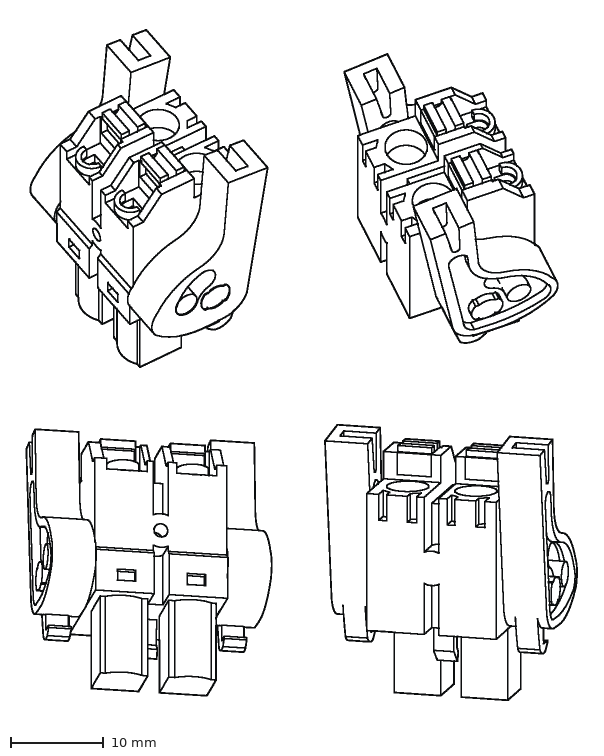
import cadquery as cq
import math


HOUSING_WIDTH = 14.47
HOUSING_DEPTH = 14.6
HOUSING_HEIGHT = 15.22
POLE_PITCH = 7.65
POLE_CENTRES = (-POLE_PITCH / 2, POLE_PITCH / 2)

HEAD_TOP = 18.25
HEAD_BACK = 7.85
HEAD_TOP_FRONT = 3.65
HEAD_SLOPE_FOOT = 1.3

BAND_THICKNESS = 0.42
BAND_HEIGHT = 5.05

GAP_WIDTH = 1.65
WEB_FRONT = 3.1
WEB_BACK = HOUSING_DEPTH - WEB_FRONT
WEB_TOP = 13.8
JOINT_Z = 7.4
JOINT_RADIUS = 1.92
JOINT_HOLE_RADIUS = 0.75
JOINT_HOLE_DEPTH = WEB_FRONT

POCKET_LEFT = -2.1
POCKET_RIGHT = 2.35
POCKET_BACK = 4.3
POCKET_FLOOR = 14.02
COLLAR_Y = 1.85
COLLAR_BACK = 1.95
COLLAR_OUTER_RADIUS = 1.75
COLLAR_INNER_RADIUS = 1.15
SOCKET_RADIUS = 1.02
SOCKET_BACK = 2.88
SOCKET_DEPTH = 1.2

ENTRY_Y = 10.37
ENTRY_RADIUS = 2.28
ENTRY_FLOOR = 12.35
NOTCH_LEFT = (-2.15, -1.15)
NOTCH_RIGHT = (2.07, 1.2)
NOTCH_OUTER_DEPTH = 1.8
NOTCH_INNER_DEPTH = 1.23

WINDOW_WIDTH = 2.0
WINDOW_BOTTOM = 1.3
WINDOW_HEIGHT = 1.25
WINDOW_DEPTH = 0.75

LEG_INNER_X = 1.15
LEG_OUTER_X = 6.35
LEG_LENGTH = 8.75
LEG_FRONT = 1.45
LEG_BACK = 6.77
LEG_RIB_WIDTH = 3.98
LEG_RIB_HEIGHT = 0.7

BUTTON_WIDTH = 3.8
BUTTON_FLOOR = 15.8
BUTTON_FRONT = 5.1
BUTTON_TOP = 18.93
RIB_UNDERSIDE = 18.0
RIB_WIDTH = 1.02
RIB_FRONT = 4.43
GROOVE_WIDTH = 1.05
GROOVE_AXIS_Z = 18.37
REAR_RIB_BACK = RIB_FRONT + 2 * RIB_WIDTH + GROOVE_WIDTH

LEVER_WIDTH = 4.8
LEVER_LEFT_FACES = (-HOUSING_WIDTH / 2 - LEVER_WIDTH, HOUSING_WIDTH / 2)
RECESS_DEPTH = 1.0
GRIP_SLOT_DEPTH = 3.6
GRIP_SLOT_TOP = 21.57
HOOK_INSET = 1.1
HOOK_WIDTH = 2.5

PIVOT_Y, PIVOT_Z = 7.5, 3.95
PIVOT_RADIUS = 1.55
PIVOT_EAR_RADIUS = 1.83
PIVOT_EAR_HEIGHT = 2.45
GUIDE_RADIUS = 3.83
GUIDE_PIN_RADIUS = 1.38
GUIDE_PIN_ANGLE = 165.4
GUIDE_END_ANGLE = 111.6
PIN_LENGTH = 4.67


def block(x0, x1, y0, y1, z0, z1):
    """Box between opposite corners."""
    return cq.Workplane("XY").box(x1 - x0, y1 - y0, z1 - z0, centered=False).translate((x0, y0, z0))


def side_plane(x):
    """Sketch plane at the given X, with local coordinates (Y, Z) and +X as its normal."""
    return cq.Workplane("YZ", origin=(x, 0, 0))


def pivot_shape(x, length):
    """Round pivot with two larger, flat-cut ears."""
    ears = side_plane(x).center(PIVOT_Y, PIVOT_Z).circle(PIVOT_EAR_RADIUS).extrude(length)
    flats = side_plane(x).center(PIVOT_Y, PIVOT_Z).rect(2 * PIVOT_EAR_RADIUS, PIVOT_EAR_HEIGHT).extrude(length)
    ears = ears.intersect(flats)
    return side_plane(x).center(PIVOT_Y, PIVOT_Z).circle(PIVOT_RADIUS).extrude(length).union(ears)


def guide_point(radius, angle):
    """Point at a radius and angle around the pivot, as (Y, Z)."""
    turn = math.radians(angle)
    return (PIVOT_Y + radius * math.cos(turn), PIVOT_Z + radius * math.sin(turn))


def guide_round(x, length, angle):
    """Cylinder with the guide pin's radius, at the given angle around the pivot."""
    centre = guide_point(GUIDE_RADIUS, angle)
    return side_plane(x).center(*centre).circle(GUIDE_PIN_RADIUS).extrude(length)


def guide_slot(x, length):
    """Curved slot around the pivot in which the guide pin travels."""
    outer = GUIDE_RADIUS + GUIDE_PIN_RADIUS
    inner = GUIDE_RADIUS - GUIDE_PIN_RADIUS
    middle_angle = (GUIDE_PIN_ANGLE + GUIDE_END_ANGLE) / 2
    slot = (
        side_plane(x)
        .moveTo(*guide_point(outer, GUIDE_PIN_ANGLE))
        .threePointArc(guide_point(outer, middle_angle), guide_point(outer, GUIDE_END_ANGLE))
        .lineTo(*guide_point(inner, GUIDE_END_ANGLE))
        .threePointArc(guide_point(inner, middle_angle), guide_point(inner, GUIDE_PIN_ANGLE))
        .close()
        .extrude(length)
    )
    pin_end = guide_round(x, length, GUIDE_PIN_ANGLE)
    far_end = guide_round(x, length, GUIDE_END_ANGLE)
    return slot.union(pin_end).union(far_end)


def housing_shell():
    """Side outline of the housing across its full width, split by the gap between the poles."""
    outline = [
        (HOUSING_DEPTH, 0),
        (HOUSING_DEPTH, HOUSING_HEIGHT),
        (HEAD_BACK, HOUSING_HEIGHT),
        (HEAD_BACK, HEAD_TOP),
        (HEAD_TOP_FRONT, HEAD_TOP),
        (HEAD_SLOPE_FOOT, HOUSING_HEIGHT),
        (0, HOUSING_HEIGHT),
        (0, BAND_HEIGHT),
        (-BAND_THICKNESS, BAND_HEIGHT - BAND_THICKNESS),
        (-BAND_THICKNESS, 0),
    ]
    shell = side_plane(-HOUSING_WIDTH / 2).polyline(outline).close().extrude(HOUSING_WIDTH)
    half_gap = GAP_WIDTH / 2
    gap = block(-half_gap, half_gap, -BAND_THICKNESS, HOUSING_DEPTH, 0, HEAD_TOP)
    web = block(-half_gap, half_gap, WEB_FRONT, WEB_BACK, 0, WEB_TOP)
    front_to_back = cq.Workplane("XZ", origin=(0, 0, JOINT_Z))
    boss = front_to_back.circle(JOINT_RADIUS).extrude(-HOUSING_DEPTH).intersect(gap)
    hole = front_to_back.circle(JOINT_HOLE_RADIUS).extrude(-JOINT_HOLE_DEPTH)
    return shell.cut(gap).union(web).union(boss).cut(hole)


def clamp_pocket(x):
    """Open-fronted pocket and the button seat behind it."""
    pocket = block(x + POCKET_LEFT, x + POCKET_RIGHT, 0, POCKET_BACK, POCKET_FLOOR, HEAD_TOP)
    half = BUTTON_WIDTH / 2
    seat = block(x - half, x + half, POCKET_BACK, HEAD_BACK, BUTTON_FLOOR, HEAD_TOP)
    return pocket.union(seat)


def test_collar(x):
    """Roughly half-round collar standing on the pocket floor."""
    ring = (
        cq.Workplane("XY", origin=(x, COLLAR_Y, POCKET_FLOOR))
        .circle(COLLAR_OUTER_RADIUS)
        .circle(COLLAR_INNER_RADIUS)
        .extrude(HOUSING_HEIGHT - POCKET_FLOOR)
    )
    front_part = block(
        x - COLLAR_OUTER_RADIUS, x + COLLAR_OUTER_RADIUS, 0, COLLAR_BACK, POCKET_FLOOR, HOUSING_HEIGHT
    )
    return ring.intersect(front_part)


def test_socket(x):
    """Socket in the pocket floor, round in front and square behind."""
    bottom = POCKET_FLOOR - SOCKET_DEPTH
    round_part = cq.Workplane("XY", origin=(x, COLLAR_Y, bottom)).circle(SOCKET_RADIUS).extrude(SOCKET_DEPTH)
    square_part = block(x - SOCKET_RADIUS, x + SOCKET_RADIUS, COLLAR_Y, SOCKET_BACK, bottom, POCKET_FLOOR)
    return round_part.union(square_part)


def wire_entry(x):
    """Round wire entry and the two slanted notches on the back edge."""
    depth = HOUSING_HEIGHT - ENTRY_FLOOR
    floor = cq.Workplane("XY", origin=(x, 0, ENTRY_FLOOR))
    entry = floor.center(0, ENTRY_Y).circle(ENTRY_RADIUS).extrude(depth)
    for outer_x, inner_x in (NOTCH_LEFT, NOTCH_RIGHT):
        notch = [
            (outer_x, HOUSING_DEPTH),
            (outer_x, HOUSING_DEPTH - NOTCH_OUTER_DEPTH),
            (inner_x, HOUSING_DEPTH - NOTCH_INNER_DEPTH),
            (inner_x, HOUSING_DEPTH),
        ]
        entry = entry.union(floor.polyline(notch).close().extrude(depth))
    return entry


def latch_window(x):
    half = WINDOW_WIDTH / 2
    return block(
        x - half, x + half,
        -BAND_THICKNESS, WINDOW_DEPTH - BAND_THICKNESS,
        WINDOW_BOTTOM, WINDOW_BOTTOM + WINDOW_HEIGHT,
    )


def plug_leg(x):
    """Square leg with a curved rib down its front."""
    side = math.copysign(1, x)
    edges = sorted((side * LEG_INNER_X, side * LEG_OUTER_X))
    leg = block(*edges, LEG_FRONT, LEG_BACK, -LEG_LENGTH, 0)
    rib = (
        cq.Workplane("XY", origin=(x, LEG_FRONT, -LEG_LENGTH))
        .moveTo(-LEG_RIB_WIDTH / 2, 0)
        .threePointArc((0, -LEG_RIB_HEIGHT), (LEG_RIB_WIDTH / 2, 0))
        .close()
        .extrude(LEG_LENGTH)
    )
    return leg.union(rib)


def mounting_hook():
    """Snap hook under the housing, between the legs."""
    profile = [
        (8.1, 0),
        (8.4, -1.08),
        (8.4, -2.8),
        (7.82, -3.45),
        (8.18, -4.43),
        (9.65, -3.0),
        (9.65, 0),
    ]
    return side_plane(-LEG_INNER_X).polyline(profile).close().extrude(2 * LEG_INNER_X)


def make_housing():
    body = housing_shell()
    for x in POLE_CENTRES:
        body = body.cut(clamp_pocket(x)).union(test_collar(x)).cut(test_socket(x))
        body = body.cut(wire_entry(x)).cut(latch_window(x)).union(plug_leg(x))
    body = body.union(mounting_hook())
    for pin_start in (-HOUSING_WIDTH / 2 - PIN_LENGTH, HOUSING_WIDTH / 2):
        body = body.union(pivot_shape(pin_start, PIN_LENGTH))
        body = body.union(guide_round(pin_start, PIN_LENGTH, GUIDE_PIN_ANGLE))
    return body


def make_button(x):
    """Clamp button: a body in the housing seat, with two finger ribs and a round groove between them."""
    left = x - BUTTON_WIDTH / 2
    groove_front = RIB_FRONT + RIB_WIDTH
    groove_back = groove_front + GROOVE_WIDTH
    profile = (
        side_plane(left)
        .moveTo(BUTTON_FRONT, BUTTON_FLOOR)
        .lineTo(BUTTON_FRONT, RIB_UNDERSIDE)
        .lineTo(RIB_FRONT, RIB_UNDERSIDE)
        .lineTo(RIB_FRONT, BUTTON_TOP)
        .lineTo(groove_front, BUTTON_TOP)
        .lineTo(groove_front, GROOVE_AXIS_Z)
        .threePointArc(
            (groove_front + GROOVE_WIDTH / 2, GROOVE_AXIS_Z - GROOVE_WIDTH / 2),
            (groove_back, GROOVE_AXIS_Z),
        )
        .lineTo(groove_back, BUTTON_TOP)
        .lineTo(REAR_RIB_BACK, BUTTON_TOP)
        .lineTo(REAR_RIB_BACK, HEAD_TOP)
        .lineTo(HEAD_BACK, HEAD_TOP)
        .lineTo(HEAD_BACK, BUTTON_FLOOR)
        .close()
    )
    return profile.extrude(BUTTON_WIDTH)


def lever_plate(left):
    """Full-width lever outline: handle, concave neck and rounded cam."""
    return (
        side_plane(left)
        .moveTo(14.17, 20.65)
        .lineTo(9.1, 21.2)
        .lineTo(8.57, 13.48)
        .tangentArcPoint((5.48, 9.95), relative=False)
        .threePointArc((2.52, 8.65), (-0.1, 5.75))
        .threePointArc((-0.72, 4.1), (-0.25, 2.52))
        .threePointArc((3.12, 0.45), (6.8, 0))
        .lineTo(8.72, 0.1)
        .threePointArc((10.65, 1.0), (11.5, 2.4))
        .close()
        .extrude(LEVER_WIDTH)
    )


def lever_recess(left):
    """Shallow recess that leaves a rim around the lever face."""
    return (
        side_plane(left)
        .moveTo(12.05, 14.55)
        .threePointArc((10.9, 15.82), (9.8, 14.77))
        .lineTo(9.7, 13.5)
        .threePointArc((8.8, 11.05), (5.72, 8.95))
        .threePointArc((2.65, 7.58), (0.48, 4.85))
        .threePointArc((0.12, 3.98), (0.8, 2.45))
        .threePointArc((3.6, 1.45), (6.6, 1.05))
        .lineTo(9.05, 1.15)
        .threePointArc((9.8, 1.65), (10.22, 2.5))
        .close()
        .extrude(RECESS_DEPTH)
    )


def grip_slot(left):
    """Tapered, round-bottomed slot in the top of the handle."""
    return (
        side_plane(left)
        .moveTo(12.4, 20.88)
        .lineTo(11.65, 17.23)
        .threePointArc((11.2, 16.78), (10.73, 17.23))
        .lineTo(10.85, 21.03)
        .lineTo(10.85, GRIP_SLOT_TOP)
        .lineTo(12.4, GRIP_SLOT_TOP)
        .close()
        .extrude(GRIP_SLOT_DEPTH)
    )


def lever_hook(left):
    """Latch hook below the lever."""
    return (
        side_plane(left + HOOK_INSET)
        .moveTo(8.72, 0.9)
        .lineTo(8.72, -1.68)
        .lineTo(7.2, -1.68)
        .lineTo(7.2, -1.95)
        .lineTo(7.97, -2.6)
        .threePointArc((9.08, -2.7), (10.25, -1.98))
        .lineTo(10.85, 0)
        .lineTo(11.25, 1.95)
        .close()
        .extrude(HOOK_WIDTH)
    )


def make_lever(left):
    body = lever_plate(left).union(lever_hook(left)).cut(lever_recess(left)).cut(grip_slot(left))
    return body.cut(pivot_shape(left, LEVER_WIDTH)).cut(guide_slot(left, LEVER_WIDTH))


housing = make_housing()
buttons = [make_button(x) for x in POLE_CENTRES]
levers = [make_lever(left) for left in LEVER_LEFT_FACES]

result = cq.Compound.makeCompound([
    housing.val(),
    *[button.val() for button in buttons],
    *[lever.val() for lever in levers],
])